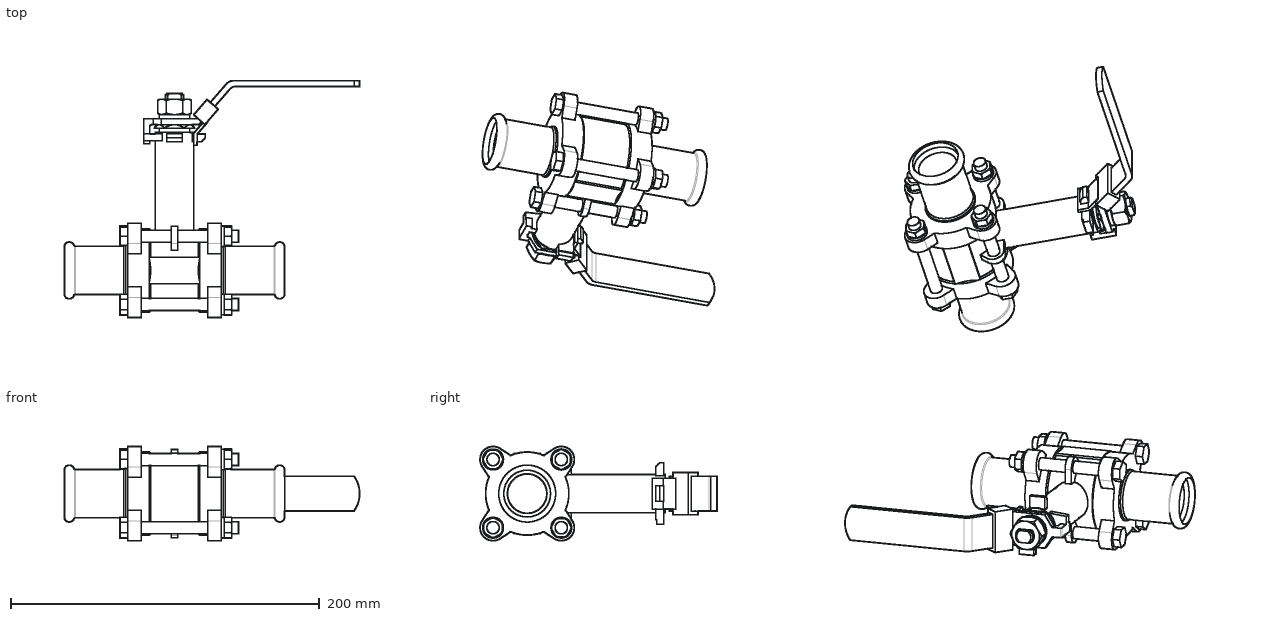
import cadquery as cq
import math


bore_dia = 25.4
disc_dia = 54.0
disc_inner_x = 16.3
flange_outer_x = 30.4
lobe_thickness = 9.0
lobe_radius = 8.5
bolt_circle_dia = 62.5
lobe_flank_angle = 21.7
body_dia = 52.0
body_half_length = 15.4
pad_width = 17.0
lug_thickness = 4.3
lug_radius = 6.6
lug_flank_angle = 15.0

valve_half_length = 71.4
pipe_dia = 31.5
collar_dia = 33.3
collar_length = 1.2
collar_taper = 1.2
bead_dia = 36.9
bead_radius = 3.25
bead_root_fillet = 0.8
socket_dia = 30.3
socket_depth = 3.95
socket_taper = 2.45

bolt_dia = 8.0
bolt_end_x = 41.5
hex_across_flats = 11.8
bolt_head_height = 4.9
washer_dia = 13.4
washer_thickness = 2.0
bolt_nut_height = 4.8
bolt_nut_chamfer = 0.5

neck_dia = 25.0
neck_top = 89.5
spacer_dia = 20.0
lock_nut_bottom = 92.0
lock_nut_top = 94.4
lock_nut_rim = 0.2
lock_nut_across_flats = 22.7
stem_nut_bottom = 101.0
stem_nut_top = 111.0
stem_nut_across_flats = 19.0
stem_nut_chamfer_height = 0.9
stem_nut_chamfer_depth = 1.4
stem_dia = 11.8
stem_across_flats = 7.94
stem_top = 114.7
stem_chamfer = 1.0

ear_reach = 20.0
ear_top = 88.5
ear_height = 5.3
ear_width = 10.0
ear_chamfer = 2.6
short_ear_height = 4.6
left_ear_tip_z = 8.6
left_ear_slope = 5.0
low_ear_step_z = -17.0

lever_thickness = 4.0
lever_width = 22.6
grip_top = 122.99
grip_tip_x = 120.05
grip_tip_rise = 3.7
arm_angle = 49.0
arm_foot_x = 15.0
bend_outer_radius = 6.5
bend_inner_radius = 4.0
hook_x = -20.0
hook_bottom = 82.0
hook_width = 6.5
hook_outer_fillet = 0.8
hook_inner_fillet = 1.5
plate_taper_start_x = -8.7
plate_taper_end_x = -13.7

sleeve_length = 13.2
sleeve_thickness = 9.7
sleeve_width = 27.5
sleeve_center_y = 102.6
tongue_thickness = 2.2
tongue_width = 20.0
tongue_bottom = 81.0
tongue_bend_y = 89.0
tongue_rise = 8.0

bolt_offset = bolt_circle_dia / 2 / math.sqrt(2)
lever_plate_y = lock_nut_top + lever_thickness / 2


def rod_x(dia, x0, x1):
    """Round bar on the X axis."""
    return cq.Workplane("YZ").workplane(offset=x0).circle(dia / 2).extrude(x1 - x0)


def rod_y(dia, y0, y1):
    """Round bar on the Y axis."""
    return cq.Workplane("XZ").workplane(offset=-y0).circle(dia / 2).extrude(y0 - y1)


def block(x0, x1, y0, y1, z0, z1):
    """Box between two corners."""
    return cq.Workplane("XY").box(x1 - x0, y1 - y0, z1 - z0, centered=False).translate((x0, y0, z0))


def hex_y(across_flats, y0, y1):
    """Hexagonal bar on the Y axis with two corners on X."""
    across_corners = across_flats / math.cos(math.pi / 6)
    return cq.Workplane("XZ").workplane(offset=-y0).polygon(6, across_corners).extrude(y0 - y1)


def flanked_lobe(radius, flank_root_radius, flank_angle, x0, x1):
    """Lobe round the +Y+Z bolt, joined to the body by two flanks tangent to its round end."""
    reach = bolt_circle_dia / 2
    half = math.radians(flank_angle)
    root = (flank_root_radius * math.cos(half), flank_root_radius * math.sin(half))
    dx, dy = reach - root[0], root[1]
    normal = math.atan2(dy, -dx) - math.acos(radius / math.hypot(dx, dy))
    touch = (reach + radius * math.cos(normal), radius * math.sin(normal))
    lobe = (
        cq.Workplane("YZ")
        .workplane(offset=x0)
        .moveTo(0, 0)
        .lineTo(*root)
        .lineTo(*touch)
        .threePointArc((reach + radius, 0), (touch[0], -touch[1]))
        .lineTo(root[0], -root[1])
        .close()
        .extrude(x1 - x0)
    )
    return lobe.rotate((0, 0, 0), (1, 0, 0), 45)


def four_corners(shape):
    """Copies of a shape at all four bolt positions."""
    copies = shape
    for quarter in range(1, 4):
        copies = copies.union(shape.rotate((0, 0, 0), (1, 0, 0), 90 * quarter))
    return copies


def make_center_body():
    """Round centre body with a flat pad above and below."""
    pads = block(-disc_inner_x, disc_inner_x, -pad_width / 2, pad_width / 2, -body_dia / 2, body_dia / 2)
    return rod_x(body_dia, -disc_inner_x, disc_inner_x).union(pads)


def make_lugs():
    """Thin plates that hold the two bolts on the stem side."""
    x0, x1 = -lug_thickness / 2, lug_thickness / 2
    edge_y = bolt_offset + lug_radius
    lug = flanked_lobe(lug_radius, body_dia / 2, lug_flank_angle, x0, x1)
    lug = lug.union(block(x0, x1, 0, edge_y, 0, bolt_offset))
    return lug.union(lug.mirror("XY"))


def make_end():
    """Flange, pipe and beaded socket on the +X side."""
    lobe = flanked_lobe(lobe_radius, disc_dia / 2, lobe_flank_angle,
                        flange_outer_x - lobe_thickness, flange_outer_x)
    disc = rod_x(disc_dia, body_half_length, flange_outer_x)
    disc = disc.faces("<X").chamfer(disc_inner_x - body_half_length, (disc_dia - body_dia) / 2)
    flange = disc.union(four_corners(lobe))

    collar_end = flange_outer_x + collar_length
    bead_x = valve_half_length - bead_radius
    bead_r = bead_dia / 2 - bead_radius
    pipe = (
        cq.Workplane("XY")
        .moveTo(flange_outer_x, 0)
        .lineTo(flange_outer_x, collar_dia / 2)
        .lineTo(collar_end, collar_dia / 2)
        .lineTo(collar_end + collar_taper, pipe_dia / 2)
        .lineTo(bead_x, pipe_dia / 2)
        .lineTo(bead_x, 0)
        .close()
        .revolve(360, (0, 0, 0), (1, 0, 0))
    )
    bead = (
        cq.Workplane("XY")
        .moveTo(bead_x - bead_radius, 0)
        .lineTo(bead_x - bead_radius, bead_r)
        .threePointArc((bead_x, bead_dia / 2), (valve_half_length, bead_r))
        .lineTo(valve_half_length, 0)
        .close()
        .revolve(360, (0, 0, 0), (1, 0, 0))
    )
    root_zone = cq.selectors.BoxSelector((bead_x - bead_radius, -1, -1), (bead_x, 1, 1))
    pipe = pipe.union(bead).edges(root_zone).fillet(bead_root_fillet)
    socket_floor = valve_half_length - socket_depth
    socket = (
        cq.Workplane("XY")
        .moveTo(valve_half_length, 0)
        .lineTo(valve_half_length, socket_dia / 2)
        .lineTo(socket_floor, socket_dia / 2)
        .lineTo(socket_floor - socket_taper, bore_dia / 2)
        .lineTo(socket_floor - socket_taper, 0)
        .close()
        .revolve(360, (0, 0, 0), (1, 0, 0))
    )
    return flange.union(pipe).cut(socket)


def make_bolt():
    """Tie bolt with head, washer and nut, at the +Y+Z position."""
    across_corners = hex_across_flats / math.cos(math.pi / 6)
    head_x = -flange_outer_x - bolt_head_height
    nut_x = flange_outer_x + washer_thickness
    head = cq.Workplane("YZ").workplane(offset=head_x).polygon(6, across_corners).extrude(bolt_head_height)
    nut = cq.Workplane("YZ").workplane(offset=nut_x).polygon(6, across_corners).extrude(bolt_nut_height)
    nut_round = rod_x(across_corners, nut_x, nut_x + bolt_nut_height).faces(">X").chamfer(bolt_nut_chamfer)
    bolt = (
        rod_x(bolt_dia, -flange_outer_x, bolt_end_x)
        .union(head)
        .union(rod_x(washer_dia, flange_outer_x, nut_x))
        .union(nut.intersect(nut_round))
    )
    return bolt.rotate((0, 0, 0), (1, 0, 0), 90).translate((0, bolt_offset, bolt_offset))


def make_stem():
    """Neck with the spacer, lock nut, washer, stem nut and flatted stem end above it."""
    lock_nut = hex_y(lock_nut_across_flats, lock_nut_bottom, lock_nut_top)
    lock_corner_r = lock_nut_across_flats / 2 / math.cos(math.pi / 6)
    lock_cone = rod_y(2 * lock_corner_r, lock_nut_bottom, lock_nut_top)
    lock_cone = lock_cone.faces(">Y").chamfer(lock_nut_top - lock_nut_bottom - lock_nut_rim,
                                              lock_corner_r - lock_nut_across_flats / 2)

    stem_nut = hex_y(stem_nut_across_flats, stem_nut_bottom, stem_nut_top)
    nut_round = rod_y(stem_nut_across_flats / math.cos(math.pi / 6), stem_nut_bottom, stem_nut_top)
    nut_round = nut_round.faces(">Y").chamfer(stem_nut_chamfer_height, stem_nut_chamfer_depth)
    nut_round = nut_round.faces("<Y").chamfer(stem_nut_chamfer_height, stem_nut_chamfer_depth)
    stem_nut = stem_nut.intersect(nut_round)

    stem = rod_y(stem_dia, stem_nut_bottom, stem_top).faces(">Y").chamfer(stem_chamfer)
    stem = stem.intersect(block(-stem_dia, stem_dia, stem_nut_bottom, stem_top,
                                -stem_across_flats / 2, stem_across_flats / 2))
    return (
        rod_y(neck_dia, 0, neck_top)
        .union(rod_y(spacer_dia, neck_top, stem_nut_bottom))
        .union(lock_nut.intersect(lock_cone))
        .union(stem_nut)
        .union(stem)
    )


def make_ears():
    """Stops that stick out round the top of the neck."""
    ear_bottom = ear_top - ear_height
    short_bottom = ear_top - short_ear_height
    half = ear_width / 2
    right = block(0, ear_reach, ear_bottom, ear_top, -half, half)
    right = right.edges(">X and <Y").chamfer(ear_chamfer)
    upper = right.rotate((0, 0, 0), (0, 1, 0), -90)

    root_z = left_ear_tip_z + (ear_reach - neck_dia / 4) * math.tan(math.radians(left_ear_slope))
    left = (
        cq.Workplane("XZ")
        .workplane(offset=-short_bottom)
        .polyline([
            (-ear_reach, -hook_width / 2),
            (-ear_reach, left_ear_tip_z),
            (-neck_dia / 4, root_z),
            (-neck_dia / 4, -hook_width / 2),
        ])
        .close()
        .extrude(-short_ear_height)
    )

    lower_x1 = neck_dia / 2
    lower_x0 = lower_x1 - ear_width
    lower = block(lower_x0, lower_x1, short_bottom, ear_top, -ear_reach, 0)
    lower_step = block(lower_x0, lower_x1, ear_bottom, ear_top, low_ear_step_z, 0)
    return right.union(upper).union(left).union(lower).union(lower_step)


def make_lever():
    """Bent flat lever: hook, plate over the stem, rising arm and grip."""
    angle = math.radians(arm_angle)
    grip_y = grip_top - lever_thickness / 2
    bend_x = arm_foot_x + (grip_y - lever_plate_y) / math.tan(angle)
    half = lever_thickness / 2
    shift = half * math.tan(angle / 2)
    plate_top, plate_bottom = lever_plate_y + half, lever_plate_y - half
    hook_inner_x = hook_x + lever_thickness
    outline = [
        (hook_x, hook_bottom),
        (hook_x, plate_top),
        (arm_foot_x - shift, plate_top),
        (bend_x - shift, grip_top),
        (grip_tip_x, grip_top),
        (grip_tip_x, grip_top - lever_thickness),
        (bend_x + shift, grip_top - lever_thickness),
        (arm_foot_x + shift, plate_bottom),
        (hook_inner_x, plate_bottom),
        (hook_inner_x, hook_bottom),
    ]
    strip = cq.Workplane("XY").polyline(outline).close().extrude(lever_width / 2, both=True)

    def round_corner(body, corner, radius):
        return body.edges(cq.selectors.NearestToPointSelector((corner[0], corner[1], 0))).fillet(radius)

    strip = round_corner(strip, outline[1], hook_outer_fillet)
    strip = round_corner(strip, outline[8], hook_inner_fillet)
    strip = round_corner(strip, outline[3], bend_outer_radius)
    strip = round_corner(strip, outline[6], bend_inner_radius)

    side, hook_side = lever_width / 2, hook_width / 2
    arc_start_x = grip_tip_x - grip_tip_rise
    plan = (
        cq.Workplane("XZ")
        .moveTo(hook_x, -hook_side)
        .lineTo(plate_taper_end_x, -hook_side)
        .lineTo(plate_taper_start_x, -side)
        .lineTo(arc_start_x, -side)
        .threePointArc((grip_tip_x, 0), (arc_start_x, side))
        .lineTo(plate_taper_start_x, side)
        .lineTo(plate_taper_end_x, hook_side)
        .lineTo(hook_x, hook_side)
        .close()
        .extrude(-grip_top)
    )
    return strip.intersect(plan)


def make_lock():
    """Sleeve sliding on the lever arm, with the tongue that drops behind the neck."""
    angle = math.radians(arm_angle)
    sleeve_x = arm_foot_x + (sleeve_center_y - lever_plate_y) / math.tan(angle)
    sleeve = (
        cq.Workplane("XY")
        .box(sleeve_length, sleeve_thickness, sleeve_width)
        .rotate((0, 0, 0), (0, 0, 1), arm_angle)
        .translate((sleeve_x, sleeve_center_y, 0))
    )
    inner_x = neck_dia / 2
    outer_x = inner_x + tongue_thickness
    bend_drop = tongue_thickness * math.tan(angle / 2 - math.pi / 4)
    run = tongue_rise / math.tan(angle)
    tongue = (
        cq.Workplane("XY")
        .polyline([
            (inner_x, tongue_bottom),
            (inner_x, tongue_bend_y),
            (inner_x + run, tongue_bend_y + tongue_rise),
            (outer_x + run, tongue_bend_y + bend_drop + tongue_rise),
            (outer_x, tongue_bend_y + bend_drop),
            (outer_x, tongue_bottom),
        ])
        .close()
        .extrude(tongue_width / 2, both=True)
    )
    return sleeve.union(tongue)


end = make_end()
through_bore = rod_x(bore_dia, -valve_half_length, valve_half_length)

result = (
    make_center_body()
    .union(make_lugs())
    .union(end)
    .union(end.mirror("YZ"))
    .union(make_stem())
    .cut(through_bore)
    .union(four_corners(make_bolt()))
    .union(make_ears())
    .union(make_lever())
    .union(make_lock())
)